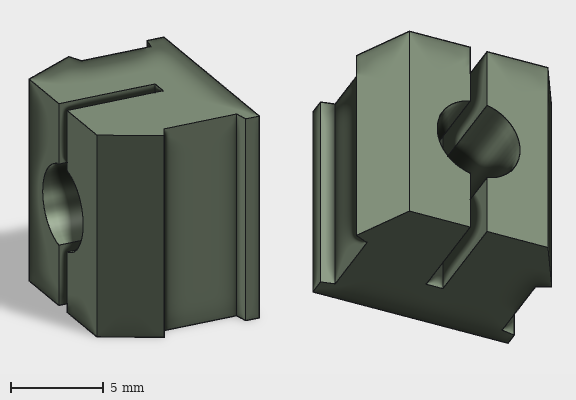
import cadquery as cq

width = 11.6
depth = 9.0
height = 12.0

neck_width = 10.01
neck_front = 3.62
shoulder_y = 3.24
left_flange = 1.03
right_flange = 0.83
flange_slope = 0.15

nose_width = 8.23

slot_width = 1.0
slot_depth = 5.82
bore_diameter = 4.92


def side_outline(side, flange):
    """Points of one side from back to nose; side is -1 for left, +1 for right."""
    outer_x = side * width / 2
    neck_x = side * neck_width / 2
    return [
        (outer_x, depth),
        (outer_x, depth - flange),
        (neck_x, depth - flange - flange_slope),
        (neck_x, neck_front),
        (outer_x, shoulder_y),
        (side * nose_width / 2, 0),
    ]


def make_body():
    left = side_outline(-1, left_flange)
    right = side_outline(1, right_flange)
    outline = left + right[::-1]
    return cq.Workplane("XY").polyline(outline).close().extrude(height / 2, both=True)


def make_slot():
    """Vertical slot open at the nose."""
    return cq.Workplane("XY").box(slot_width, slot_depth, height, centered=(True, False, True))


def make_bore():
    """Round hole running through the full depth."""
    return cq.Workplane("XZ").circle(bore_diameter / 2).extrude(-depth)


result = make_body().cut(make_slot()).cut(make_bore())